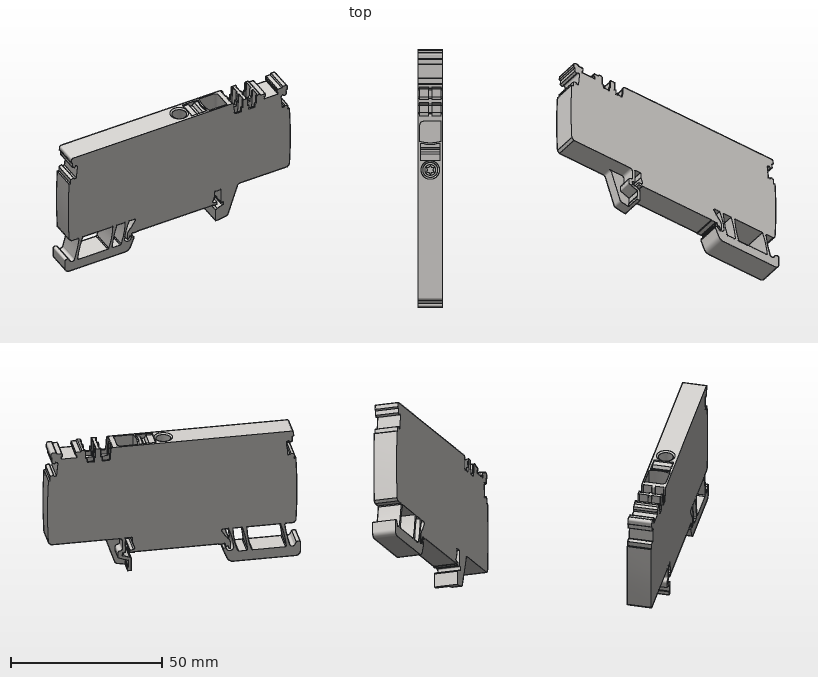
import cadquery as cq
import math

thickness = 8.1
half_thickness = thickness / 2
total_length = 85.1
rear_y = total_length / 2
front_y = -total_length / 2
top_z = 46.8
body_bottom_z = 12.4

root_z = body_bottom_z + 0.3

end_bulge = 0.3
body_half_length = 41.95
body_centre_y = rear_y - body_half_length
shoulder_z = 36.5
neck_bottom_z = 38.0
neck_top_z = 43.1
bottom_corner = 0.85

slot_floor_z = 42.1
slot_ledge_z = 43.7
pocket_floor_z = 34.0
pocket_inner_x = 0.6
pocket_outer_x = 3.5

rail_face_z = 7.0
foot_floor_z = 3.7

web_thickness = 3.4

entry_rear_y = 18.9
entry_front_y = 12.25
entry_bow = 0.5
entry_half_width = 3.5
entry_corner = 1.4
entry_depth = 10.2

lever_half_width = 3.2
lever_rear_y = 11.5
lever_front_y = 5.9
lever_bow = 0.3
lever_bow_half_width = 2.2
lever_top_z = top_z - 0.5
lever_groove_z = lever_top_z - 1.0

screw_y = 2.8
screw_hole_radius = 2.5
screw_rim_radius = 3.1
screw_rim_depth = 0.4
screw_hole_depth = 6.8
screw_head_radius = 1.8
screw_head_height = 1.7
screw_head_overlap = 0.85
socket_tip_radius = 1.45
socket_root_radius = 0.9
socket_depth = 1.0
socket_lobes = 6


def line_to(*points):
    """Straight stretches through the given (y, z) points."""
    return [("line", point) for point in points]


def arc_to(middle, end):
    """One arc through a middle point to an end point."""
    return [("arc", middle, end)]


def plate(start, path, x_from=-half_thickness, width=thickness):
    """Extrude a closed (y, z) outline along X."""
    sketch = cq.Workplane("YZ", origin=(x_from, 0, 0)).moveTo(*start)
    for kind, *points in path:
        if kind == "line":
            sketch = sketch.lineTo(*points[0])
        else:
            sketch = sketch.threePointArc(*points)
    return sketch.close().extrude(width)


def half_body(side):
    """Half of the body with its bulged end and the latch neck; side is +1 or -1 along Y."""

    def at(distance, z):
        return (body_centre_y + side * distance, z)

    end = body_half_length - end_bulge
    bulge_middle_z = (body_bottom_z + shoulder_z) / 2
    path = line_to(at(end - bottom_corner, body_bottom_z), at(end, body_bottom_z + bottom_corner))
    path += arc_to(at(body_half_length, bulge_middle_z), at(end, shoulder_z))
    path += line_to(
        at(41.0, shoulder_z),
        at(41.0, 38.1),
        at(39.9, 38.55),
        at(39.65, neck_bottom_z),
        at(38.9, neck_bottom_z),
        at(38.5, 42.4),
    )
    path += arc_to(at(38.6, 43.0), at(39.1, neck_top_z))
    path += line_to(
        at(39.65, 42.6),
        at(40.4, neck_top_z),
        at(40.3, 44.7),
        at(40.85, 45.1),
        at(40.8, 46.1),
    )
    path += arc_to(at(40.5, 46.6), at(40.0, top_z))
    path += line_to(at(0, top_z))
    return plate(at(0, body_bottom_z), path)


def marker_groove():
    """Undercut groove across the top at the rear end, with its lower lips."""
    lip_z = 46.3
    floor_z = 44.25
    path = line_to(
        (39.3, lip_z),
        (37.8, lip_z),
        (37.5, 45.95),
        (37.5, 45.2),
        (37.9, 44.8),
        (37.9, floor_z),
        (32.7, floor_z),
        (32.7, 44.9),
        (33.2, 45.35),
        (33.0, lip_z),
        (31.4, lip_z),
        (31.0, top_z),
    )
    return plate((39.65, top_z), path)


def rear_slot():
    """Slot between the marker groove and the middle tooth."""
    path = arc_to((29.9, 46.55), (29.7, 45.95))
    path += line_to(
        (29.7, slot_ledge_z),
        (29.1, 43.1),
        (29.1, slot_floor_z),
        (26.8, slot_floor_z),
        (26.8, slot_ledge_z),
        (26.4, slot_ledge_z),
        (26.4, top_z),
    )
    return plate((30.3, top_z), path)


def front_slot():
    """Slot between the middle tooth and the long top face."""
    path = line_to(
        (24.6, slot_ledge_z),
        (24.1, slot_ledge_z),
        (24.1, slot_floor_z),
        (21.8, slot_floor_z),
        (21.45, 42.5),
        (21.2, 45.9),
    )
    path += arc_to((21.0, 46.55), (20.5, top_z))
    return plate((24.6, top_z), path)


def slot_pockets(rear_top, front_top, rear_floor, front_floor):
    """Pair of tapered pockets sunk into a slot, with a rib between them."""
    path = line_to((rear_floor, pocket_floor_z), (front_floor, pocket_floor_z), (front_top, top_z))
    width = pocket_outer_x - pocket_inner_x
    left = plate((rear_top, top_z), path, -pocket_outer_x, width)
    right = plate((rear_top, top_z), path, pocket_inner_x, width)
    return left.union(right)


def clip_strip():
    """Full-width springy strip that hooks under the rail edge."""
    path = line_to((17.0, rail_face_z))
    path += arc_to((17.3, 6.9), (17.4, 6.6))
    path += line_to((17.4, 5.8), (16.8, 5.8), (14.9, 5.1), (14.3, 4.6), (14.3, 0.1), (15.6, 0.1))
    path += line_to((15.6, 1.4), (15.3, 1.5), (15.3, 3.9), (18.4, 5.1))
    path += arc_to((18.8, 5.4), (18.9, 5.8))
    path += line_to((18.9, 7.0))
    path += arc_to((18.6, 7.6), (18.0, 7.8))
    path += arc_to((17.5, 8.1), (17.4, 8.7))
    path += line_to((17.4, 11.15))
    path += arc_to((17.7, 12.1), (18.55, body_bottom_z))
    path += line_to((18.55, root_z), (16.3, root_z))
    return plate((16.3, rail_face_z), path)


def clip_web():
    """Thin web that stiffens the clip strip from behind."""
    path = arc_to((23.0, 12.25), (22.6, 11.9))
    path += line_to((19.1, 1.4))
    path += arc_to((18.7, 0.85), (18.1, 0.6))
    path += line_to((15.6, 0.1), (14.9, 0.1), (14.9, 4.4), (18.1, 5.8), (18.1, 7.4), (16.85, 8.1))
    path += line_to((16.85, root_z), (23.4, root_z))
    return plate((23.4, body_bottom_z), path, half_thickness - web_thickness, web_thickness)


def rail_block():
    """Block below the body that rests on the rail, ending in a curved hook at the front."""
    path = line_to((14.4, body_bottom_z))
    path += arc_to((14.0, 12.3), (13.95, 12.0))
    path += line_to((13.95, 10.4), (13.2, 8.4), (13.6, 7.8), (14.8, 7.8), (14.8, 6.8), (13.4, 6.8))
    path += line_to((13.4, rail_face_z), (-14.9, rail_face_z), (-15.1, 6.8), (-16.6, 6.8), (-17.0, 7.0))
    path += line_to((-17.3, 6.6), (-17.45, 5.9), (-18.1, 5.9), (-18.55, 4.9), (-19.1, 4.9), (-19.1, 6.4))
    path += arc_to((-18.9, 7.6), (-18.3, 8.7))
    path += line_to((-17.4, 9.7), (-16.1, 11.65))
    path += arc_to((-16.0, 12.2), (-16.3, body_bottom_z))
    path += line_to((-16.3, root_z))
    return plate((14.4, root_z), path)


def foot():
    """Release foot hanging on three slanted spring legs."""
    path = arc_to((-19.4, 9.4), (-20.1, 5.4))
    path += arc_to((-18.8, 4.2), (-17.5, 5.2))
    path += line_to((-17.4, 5.45), (-16.6, 5.2), (-16.5, 4.6), (-17.8, 1.5))
    path += arc_to((-18.55, 0.5), (-19.65, 0))
    path += line_to((-40.8, 0))
    path += arc_to((-42.0, 0.5), (front_y, 1.8))
    path += line_to((front_y, 4.85))
    path += arc_to((-42.4, 5.2), (-42.0, 5.4))
    path += arc_to((-41.6, 5.4), (-41.1, 5.1))
    path += line_to((-40.7, 4.3))
    path += arc_to((-39.9, foot_floor_z), (-38.9, 4.6))
    path += arc_to((-37.9, 8.5), (-37.3, 12.1))
    path += line_to((-37.5, body_bottom_z), (-37.5, root_z), (-18.3, root_z))
    return plate((-18.3, body_bottom_z), path)


def foot_window(rear_top, front_top, lean_rear, lean_front):
    """Opening between two spring legs; the lean is how far each side drifts toward the front."""
    corner = 0.3
    middle_z = 8.5
    rear_floor = rear_top - lean_rear
    front_floor = front_top - lean_front
    path = arc_to((front_top - 0.6 * lean_front, middle_z), (front_floor, foot_floor_z + corner))
    path += line_to((front_floor + corner, foot_floor_z), (rear_floor - corner, foot_floor_z))
    path += line_to((rear_floor, foot_floor_z + corner))
    path += arc_to((rear_top - 0.25 * lean_rear, middle_z), (rear_top, body_bottom_z))
    return plate((front_top, body_bottom_z), path)


def wire_entry():
    """Deep wire funnel with one rounded corner and a bowed front wall."""
    left = -entry_half_width
    right = entry_half_width
    inset = entry_corner * (1 - math.sqrt(0.5))
    return (
        cq.Workplane("XY", origin=(0, 0, top_z))
        .moveTo(right, entry_rear_y)
        .lineTo(left + entry_corner, entry_rear_y)
        .threePointArc((left + inset, entry_rear_y - inset), (left, entry_rear_y - entry_corner))
        .lineTo(left, entry_front_y)
        .threePointArc((0, entry_front_y - entry_bow), (right, entry_front_y))
        .close()
        .extrude(-entry_depth)
    )


def lever_recess():
    """Shallow recess above the release lever, with a sloped groove across it and a bowed rear wall."""
    path = line_to(
        (lever_rear_y, lever_top_z),
        (10.2, lever_top_z),
        (9.5, lever_groove_z),
        (8.7, lever_groove_z),
        (8.0, lever_top_z),
        (lever_front_y, lever_top_z),
        (lever_front_y, top_z),
    )
    recess = plate((lever_rear_y, top_z), path, -lever_half_width, 2 * lever_half_width)
    bowed_wall = (
        cq.Workplane("XY", origin=(0, 0, lever_top_z))
        .moveTo(-lever_bow_half_width, lever_rear_y)
        .threePointArc((0, lever_rear_y - lever_bow), (lever_bow_half_width, lever_rear_y))
        .close()
        .extrude(top_z - lever_top_z)
    )
    return recess.cut(bowed_wall)


def screw_hole():
    """Screw access hole with a bevelled rim."""
    hole = (
        cq.Workplane("XY", origin=(0, screw_y, top_z))
        .circle(screw_hole_radius)
        .extrude(-screw_hole_depth)
    )
    rim = cq.Solid.makeCone(
        screw_hole_radius,
        screw_rim_radius,
        screw_rim_depth,
        pnt=cq.Vector(0, screw_y, top_z - screw_rim_depth),
    )
    return hole.union(cq.Workplane(rim))


def screw_head():
    """Screw head at the bottom of the hole, with a star socket."""
    head_top_z = top_z - screw_hole_depth + screw_head_height
    head = (
        cq.Workplane("XY", origin=(0, screw_y, head_top_z))
        .circle(screw_head_radius)
        .extrude(-screw_head_height - screw_head_overlap)
    )
    star = []
    for index in range(2 * socket_lobes):
        radius = socket_root_radius if index % 2 else socket_tip_radius
        angle = math.pi / 2 + index * math.pi / socket_lobes
        star.append((radius * math.cos(angle), radius * math.sin(angle)))
    socket = (
        cq.Workplane("XY", origin=(0, screw_y, head_top_z))
        .polyline(star)
        .close()
        .extrude(-socket_depth)
    )
    return head.cut(socket)


body = half_body(1).union(half_body(-1))
body = body.cut(marker_groove()).cut(rear_slot()).cut(front_slot())
body = body.cut(slot_pockets(rear_top=30.2, front_top=26.1, rear_floor=29.4, front_floor=26.9))
body = body.cut(slot_pockets(rear_top=25.0, front_top=20.6, rear_floor=24.1, front_floor=21.7))
body = body.cut(wire_entry()).cut(lever_recess()).cut(screw_hole())
body = body.union(screw_head())

spring_foot = foot()
spring_foot = spring_foot.cut(foot_window(rear_top=-19.8, front_top=-23.0, lean_rear=1.5, lean_front=1.8))
spring_foot = spring_foot.cut(foot_window(rear_top=-24.5, front_top=-35.8, lean_rear=1.5, lean_front=1.95))

result = body.union(rail_block()).union(clip_strip()).union(clip_web()).union(spring_foot)